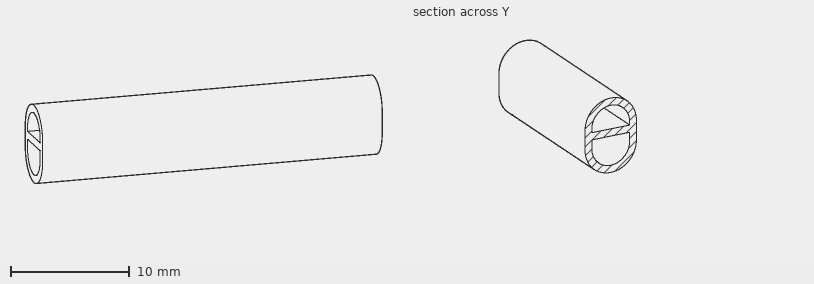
import cadquery as cq

width = 5.0
height = 6.8
length = 30.0

shell_thickness = 0.7
web_thickness = 0.7

web_center_z = 0.25


def slot_bar(bar_width, bar_height):
    """Upright bar with full-round top and bottom, centred on the origin, running along Y."""
    return (
        cq.Workplane("XZ")
        .slot2D(bar_height, bar_width, angle=90)
        .extrude(length / 2, both=True)
    )


def dividing_web(bore):
    """Horizontal wall across the bore, trimmed to the bore outline."""
    slab = cq.Workplane("XY").box(width, length, web_thickness)
    return slab.translate((0, 0, web_center_z)).intersect(bore)


outer = slot_bar(width, height)
bore = slot_bar(width - 2 * shell_thickness, height - 2 * shell_thickness)
result = outer.cut(bore).union(dividing_web(bore))